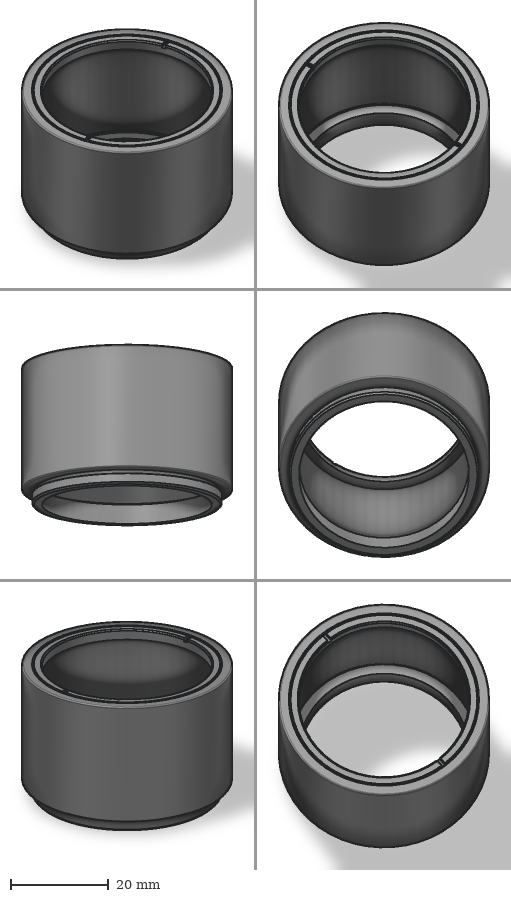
import cadquery as cq

outer_radius = 21.6
total_height = 28.8
edge_fillet = 0.3

spigot_radius = 19.5
neck_radius = 19.0
spigot_height = 2.15
body_bottom = 3.02
spigot_chamfer = 0.4

bore_radius = 19.25
bore_chamfer = 0.25
lip_radius = 17.4
lip_height = 3.97
relief_radius = spigot_radius
relief_height = 0.65

ring_height = 2.25
ring_inner_radius = lip_radius
ring_outer_chamfer = 0.17
ring_inner_chamfer = 0.3
slot_width = 0.8
slot_depth = 0.7
slot_angle = 112.5


def disc(radius, bottom, height):
    """Solid cylinder on the Z axis, starting at the given height."""
    return cq.Workplane("XY").workplane(offset=bottom).circle(radius).extrude(height)


def make_housing():
    spigot = disc(spigot_radius, 0, spigot_height).faces("<Z").edges().chamfer(spigot_chamfer)
    neck = disc(neck_radius, spigot_height, body_bottom - spigot_height)
    body = disc(outer_radius, body_bottom, total_height - body_bottom).edges().fillet(edge_fillet)
    housing = body.union(neck).union(spigot)

    lip_opening = disc(lip_radius, 0, lip_height)
    bore = disc(bore_radius, lip_height, total_height - lip_height)
    relief = disc(relief_radius, lip_height, relief_height)
    housing = housing.cut(lip_opening).cut(bore).cut(relief)

    top_bore_edge = housing.faces(">Z").edges(cq.selectors.RadiusNthSelector(0))
    return top_bore_edge.chamfer(bore_chamfer)


def make_ring():
    bottom = total_height - ring_height
    ring = disc(bore_radius, bottom, ring_height).cut(disc(ring_inner_radius, bottom, ring_height))
    ring = ring.faces(">Z").edges(cq.selectors.RadiusNthSelector(-1)).chamfer(ring_outer_chamfer)
    ring = ring.faces(">Z").edges(cq.selectors.RadiusNthSelector(0)).chamfer(ring_inner_chamfer)

    slots = (
        cq.Workplane("XY")
        .workplane(offset=total_height - slot_depth)
        .transformed(rotate=(0, 0, slot_angle))
        .rect(2 * outer_radius, slot_width)
        .extrude(slot_depth)
    )
    return ring.cut(slots)


housing = make_housing()
ring = make_ring()
result = cq.Compound.makeCompound([housing.val(), ring.val()])